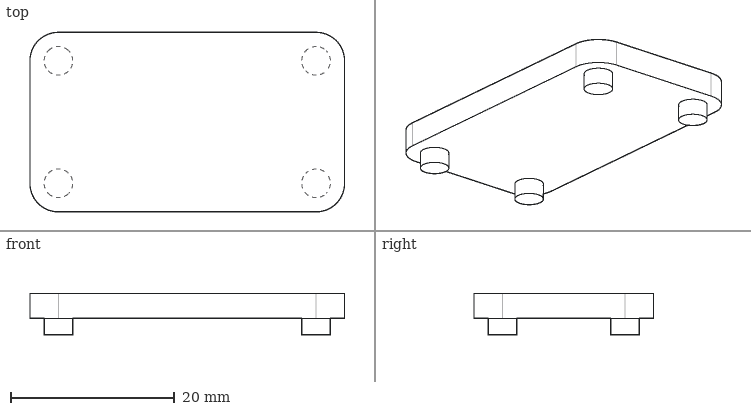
import cadquery as cq

length = 38.5
width = 22.0
total_height = 5.1
corner_radius = 3.5

pin_diameter = 3.5
pin_length = 2.0

plate_thickness = total_height - pin_length
pin_spacing_x = length - 2 * corner_radius
pin_spacing_y = width - 2 * corner_radius

plate = (
    cq.Workplane("XY")
    .rect(length, width)
    .extrude(plate_thickness)
    .edges("|Z")
    .fillet(corner_radius)
)

pins = (
    cq.Workplane("XY")
    .rect(pin_spacing_x, pin_spacing_y, forConstruction=True)
    .vertices()
    .circle(pin_diameter / 2)
    .extrude(-pin_length)
)

result = plate.union(pins)